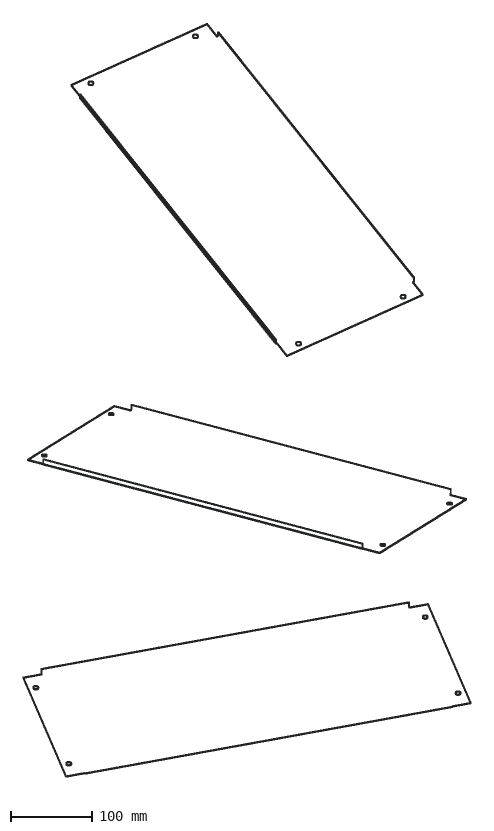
import cadquery as cq

length = 517.0
overall_width = 199.0
overall_height = 8.0
sheet = 1.0
inner_bend_radius = 1.0
flange_end_inset = 24.0
hole_diameter = 6.0
hole_end_inset = 10.0
hole_pitch_y = 150.0

outer_bend_radius = inner_bend_radius + sheet
flange_length = length - 2 * flange_end_inset
panel_width = overall_width - 2 * outer_bend_radius
channel_inner_width = overall_width - 2 * sheet
hole_pitch_x = length - 2 * hole_end_inset


def block_on_plane(size_x, size_y, size_z, base_z=0.0):
    """Block centred in X and Y, standing on the height base_z."""
    return (
        cq.Workplane("XY")
        .workplane(offset=base_z)
        .box(size_x, size_y, size_z, centered=(True, True, False))
    )


def make_panel():
    """Flat sheet reaching out to the start of the bends."""
    return block_on_plane(length, panel_width, sheet)


def make_channel():
    """Shallow bent channel that forms the two upright flanges and their bends."""
    outer = block_on_plane(flange_length, overall_width, overall_height)
    outer = outer.edges("|X and <Z").fillet(outer_bend_radius)
    inner = block_on_plane(flange_length, channel_inner_width, overall_height, sheet)
    inner = inner.edges("|X and <Z").fillet(inner_bend_radius)
    return outer.cut(inner)


def make_holes():
    """Cutters for the four through holes near the panel's ends."""
    return (
        cq.Workplane("XY")
        .rect(hole_pitch_x, hole_pitch_y, forConstruction=True)
        .vertices()
        .circle(hole_diameter / 2)
        .extrude(sheet)
    )


result = make_panel().union(make_channel()).cut(make_holes())